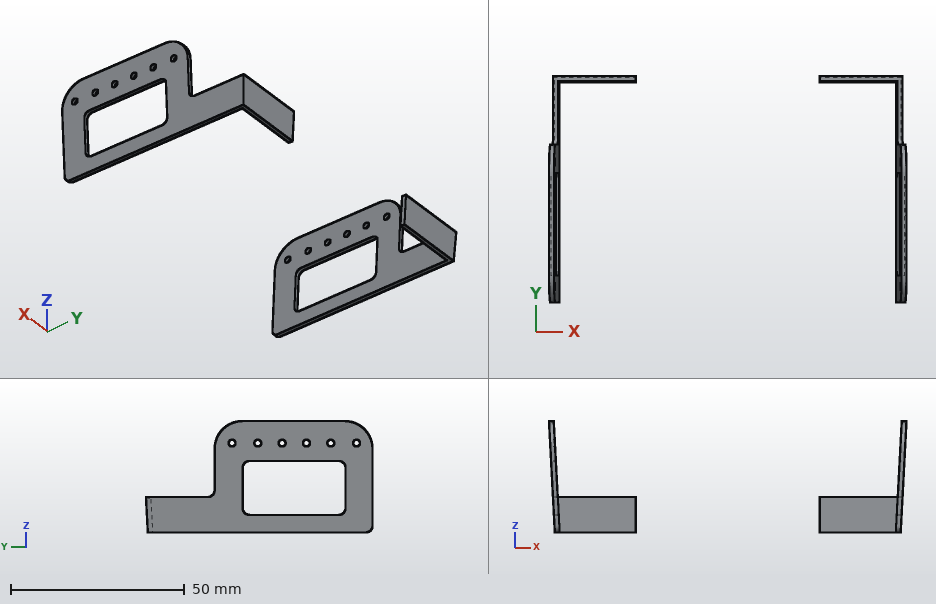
import cadquery as cq
import math

overall_width = 103.0
overall_depth = 65.3
overall_height = 32.1

thickness = 1.4
lean = math.radians(3)

arm_height = 10.2
panel_length = 45.5
panel_corner_radius = 8.0
small_radius = 2.0
plate_height = (overall_height - thickness * math.sin(lean)) / math.cos(lean)

window_length = 29.6
window_height = 15.6
window_sill = 5.0
window_front_margin = 7.8

hole_diameter = 2.0
hole_height = 25.8
hole_row_centre = 22.6
inner_hole_pitch = 7.0
end_hole_gap = 7.4
inner_hole_offsets = [inner_hole_pitch * step for step in (0.5, 1.5)]
hole_offsets = inner_hole_offsets + [inner_hole_offsets[-1] + end_hole_gap]

tab_reach = 25.0

corner_x = -overall_width / 2 + plate_height * math.sin(lean)
corner_y = overall_depth - arm_height * math.sin(lean)
tab_end_x = -overall_width / 2 + tab_reach
bend_extra = 3.1


def make_side_plate():
    """Leaning plate with arm, window and holes; local x runs along Y, local y up the slope."""
    plane = cq.Plane(
        origin=(corner_x, 0, 0), xDir=(0, 1, 0), normal=(math.cos(lean), 0, math.sin(lean))
    )
    rear = corner_y + bend_extra
    plate = (
        cq.Workplane(plane)
        .moveTo(small_radius, 0)
        .lineTo(rear, 0)
        .lineTo(rear, arm_height)
        .lineTo(panel_length + small_radius, arm_height)
        .radiusArc((panel_length, arm_height + small_radius), small_radius)
        .lineTo(panel_length, plate_height - panel_corner_radius)
        .radiusArc((panel_length - panel_corner_radius, plate_height), -panel_corner_radius)
        .lineTo(panel_corner_radius, plate_height)
        .radiusArc((0, plate_height - panel_corner_radius), -panel_corner_radius)
        .lineTo(0, small_radius)
        .radiusArc((small_radius, 0), -small_radius)
        .close()
        .extrude(thickness)
    )
    window_centre = (window_front_margin + window_length / 2, window_sill + window_height / 2)
    window = (
        cq.Workplane(plane)
        .center(*window_centre)
        .rect(window_length, window_height)
        .extrude(thickness)
        .edges(cq.selectors.ParallelDirSelector(plane.zDir))
        .fillet(small_radius)
    )
    hole_points = [
        (hole_row_centre + side * offset, hole_height) for side in (-1, 1) for offset in hole_offsets
    ]
    holes = cq.Workplane(plane).pushPoints(hole_points).circle(hole_diameter / 2).extrude(thickness)
    return plate.cut(window).cut(holes)


def make_tab():
    """Leaning rear tab; local x runs along -X, local y up the slope."""
    plane = cq.Plane(
        origin=(tab_end_x, corner_y, 0), xDir=(-1, 0, 0), normal=(0, math.cos(lean), -math.sin(lean))
    )
    length = tab_end_x - corner_x + bend_extra
    return cq.Workplane(plane).rect(length, arm_height, centered=False).extrude(-thickness)


def make_mitre_block():
    """Block on the tab side of the vertical 45 degree plane through the bend."""
    reach = overall_width
    block_height = 3 * overall_height
    return (
        cq.Workplane("XY")
        .workplane(offset=-overall_height)
        .moveTo(corner_x - reach, corner_y + reach)
        .lineTo(corner_x + reach, corner_y + reach)
        .lineTo(corner_x + reach, corner_y - reach)
        .close()
        .extrude(block_height)
    )


def make_left_bracket():
    mitre_block = make_mitre_block()
    return make_side_plate().cut(mitre_block).union(make_tab().intersect(mitre_block))


left_bracket = make_left_bracket()
right_bracket = left_bracket.mirror("YZ")

result = cq.Compound.makeCompound([left_bracket.val(), right_bracket.val()])